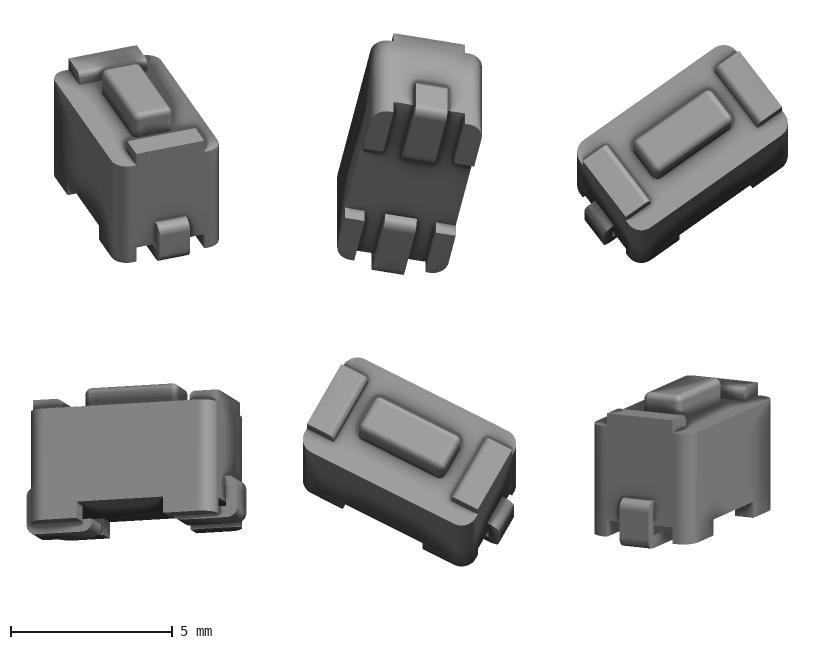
import cadquery as cq

body_length = 6.0
body_width = 3.5
body_height = 3.5
corner_radius = 0.495

channel_depth = 0.51
cross_channel_length = 2.8
long_channel_width = 2.245

ridge_length = 0.945
ridge_height = 0.41
ridge_radius = 0.2

button_length = 3.0
button_width = 1.29
button_height = 0.81
button_radius = 0.2

lead_span = 6.8
lead_width = 1.0
lead_thickness = 0.355
lead_radius = 0.3
lead_top = 1.31
left_lead_bottom = -0.19
right_lead_bottom = 0.0
tail_inner_x = 1.3
tail_lip_height = 0.04
arm_embed = 0.34


def box_on(length, width, height, base_z):
    """Centred box standing on the given height."""
    return cq.Workplane("XY").box(length, width, height, centered=(True, True, False)).translate((0, 0, base_z))


def make_housing():
    housing = box_on(body_length, body_width, body_height, 0).edges("|Z").fillet(corner_radius)
    housing = housing.cut(box_on(cross_channel_length, body_width, channel_depth, 0))
    return housing.cut(box_on(body_length, long_channel_width, channel_depth, 0))


def make_ridge(side):
    """Ridge flush with one end of the housing; side is -1 or +1 along X."""
    inner_edge = ">X" if side < 0 else "<X"
    ridge = box_on(ridge_length, long_channel_width, ridge_height, body_height)
    ridge = ridge.faces(inner_edge).edges(">Z").fillet(ridge_radius)
    return ridge.translate((side * (body_length - ridge_length) / 2, 0, 0))


def make_button():
    button = box_on(button_length, button_width, button_height, body_height)
    return button.edges("|Z or >Z").fillet(button_radius)


def make_lead(side, bottom):
    """C-shaped lead: arm into the housing, upright outside it, tail folded underneath."""
    outer = side * lead_span / 2
    upright_inner = outer - side * lead_thickness
    arm_end = side * (body_length / 2 - arm_embed)
    tail_end = side * tail_inner_x
    lip_start = tail_end + side * lead_thickness
    tail_top = bottom + lead_thickness
    lip_top = tail_top + tail_lip_height
    arm_bottom = lead_top - lead_thickness
    profile = [
        (arm_end, lead_top),
        (outer, lead_top),
        (outer, bottom),
        (tail_end, bottom),
        (tail_end, lip_top),
        (lip_start, lip_top),
        (lip_start, tail_top),
        (upright_inner, tail_top),
        (upright_inner, arm_bottom),
        (arm_end, arm_bottom),
    ]
    lead = cq.Workplane("XZ").polyline(profile).close().extrude(lead_width / 2, both=True)
    for x, z in [(outer, lead_top), (outer, bottom), (tail_end, bottom)]:
        lead = lead.edges(cq.selectors.NearestToPointSelector((x, 0, z))).fillet(lead_radius)
    return lead


result = make_housing().union(make_button())
for side, lead_bottom in [(-1, left_lead_bottom), (1, right_lead_bottom)]:
    result = result.union(make_ridge(side))
    result = result.union(make_lead(side, lead_bottom))